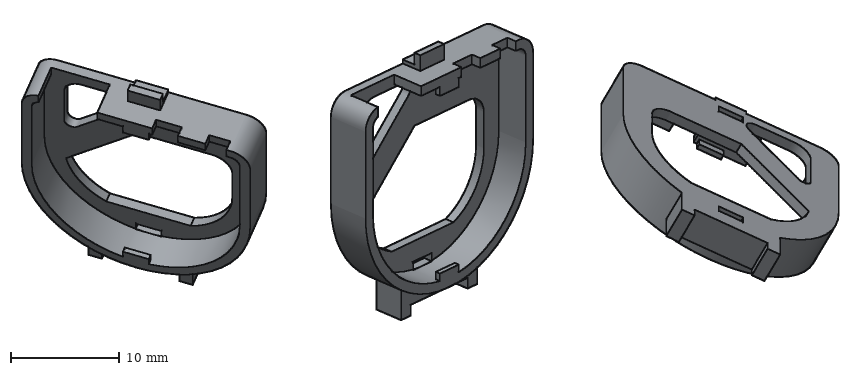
import cadquery as cq
import math

overall_height = 25.88
depth = 4.45
outer_radius = 11.245
top_z = 11.0
wall = 1.0
outer_corner_radius = 2.0
inner_radius = outer_radius - wall
inner_top_z = top_z - wall
inner_corner_radius = outer_corner_radius - wall
floor_thickness = 1.0
front_y = -depth
floor_y = -floor_thickness

window_top_z = 4.68
window_bottom_z = -7.25
window_right_x = 8.23
window_lower_radius = 6.73
window_arc_center_z = -1.05
window_corner_radius = 2.0
window_diagonal_offset = 5.75

triangle_left_x = -8.3
triangle_top_z = 9.68
triangle_diagonal_offset = 10.02
triangle_square_corner_radius = 1.8
triangle_right_corner_radius = 0.9
triangle_bottom_corner_radius = 0.75

large_opening = (-9.58, -3.8)
small_openings = [(1.6, 4.15), (6.83, 8.9)]
small_opening_depth = 1.05

tab_half_width = 1.27
tab_thickness = 0.52
upper_tab_tip_z = 9.05
lower_tab_tip_z = -9.37

hook_half_width = 1.6
hook_height = 1.63
hook_base_height = 0.41
hook_reach = 2.25
hook_lip_thickness = 0.75

foot_half_width = 5.12
foot_depth = 3.15
leg_width = 1.32
leg_height = 1.1
foot_bottom_z = top_z + hook_height - overall_height


def box(x_range, y_range, z_range):
    """Box spanning the given (low, high) ranges."""
    spans = (x_range, y_range, z_range)
    size = [high - low for low, high in spans]
    corner = tuple(low for low, high in spans)
    return cq.Workplane("XY").box(*size, centered=False).translate(corner)


def extrude_y(outline, y_back, y_front):
    """Extrude a closed XZ outline forward from y_back to y_front."""
    return outline.extrude(y_back - y_front).translate((0, y_back, 0))


def u_prism(radius, top, corner_radius, y_back, y_front):
    """Prism with a half-round bottom and two rounded top corners."""
    outline = (
        cq.Workplane("XZ")
        .moveTo(-radius, top)
        .lineTo(-radius, 0)
        .threePointArc((0, -radius), (radius, 0))
        .lineTo(radius, top)
        .close()
    )
    return extrude_y(outline, y_back, y_front).edges("|Y and >Z").fillet(corner_radius)


def make_shell():
    outside = u_prism(outer_radius, top_z, outer_corner_radius, 0, front_y)
    cavity = u_prism(inner_radius, inner_top_z, inner_corner_radius, floor_y, front_y)
    return outside.cut(cavity)


def make_large_window():
    center_x = window_right_x - window_lower_radius
    bottom_drop = window_arc_center_z - window_bottom_z
    bottom_x = center_x + math.sqrt(window_lower_radius**2 - bottom_drop**2)
    center_to_diagonal = (window_diagonal_offset - center_x - window_arc_center_z) / 2
    half_chord = math.sqrt(window_lower_radius**2 / 2 - center_to_diagonal**2)
    left_x = -center_x - center_to_diagonal - half_chord
    left_z = left_x + window_diagonal_offset

    def arc_middle(start, end, arc_center_x):
        """Middle of the lower corner arc between two of its points."""
        x = (start[0] + end[0]) / 2 - arc_center_x
        z = (start[1] + end[1]) / 2 - window_arc_center_z
        scale = window_lower_radius / math.hypot(x, z)
        return (arc_center_x + x * scale, window_arc_center_z + z * scale)

    left = (left_x, left_z)
    bottom_left = (-bottom_x, window_bottom_z)
    bottom_right = (bottom_x, window_bottom_z)
    right = (window_right_x, window_arc_center_z)
    outline = (
        cq.Workplane("XZ")
        .moveTo(window_top_z - window_diagonal_offset, window_top_z)
        .lineTo(*left)
        .threePointArc(arc_middle(left, bottom_left, -center_x), bottom_left)
        .lineTo(*bottom_right)
        .threePointArc(arc_middle(bottom_right, right, center_x), right)
        .lineTo(window_right_x, window_top_z)
        .close()
    )
    window = extrude_y(outline, 0, floor_y)
    top_right = cq.selectors.NearestToPointSelector((window_right_x, floor_y / 2, window_top_z))
    return window.edges(top_right).fillet(window_corner_radius)


def make_triangular_window():
    outline = (
        cq.Workplane("XZ")
        .moveTo(triangle_left_x, triangle_top_z)
        .lineTo(triangle_left_x, triangle_left_x + triangle_diagonal_offset)
        .lineTo(triangle_top_z - triangle_diagonal_offset, triangle_top_z)
        .close()
    )
    window = extrude_y(outline, 0, floor_y)
    square_corner = cq.selectors.NearestToPointSelector((triangle_left_x, floor_y / 2, triangle_top_z))
    window = window.edges(square_corner).fillet(triangle_square_corner_radius)
    window = window.edges("|Y").edges(">X").fillet(triangle_right_corner_radius)
    return window.edges("|Y").edges("<Z").fillet(triangle_bottom_corner_radius)


def make_top_openings():
    z_range = (inner_top_z - inner_corner_radius, top_z)
    openings = box(large_opening, (front_y, floor_y), z_range)
    for x_range in small_openings:
        openings = openings.union(box(x_range, (front_y, front_y + small_opening_depth), z_range))
    return openings


def make_tab_shapes(y_range, overlap):
    """Upper and lower tab blocks, reaching into the wall by the overlap."""
    x_range = (-tab_half_width, tab_half_width)
    upper = box(x_range, y_range, (upper_tab_tip_z, inner_top_z + overlap))
    lower = box(x_range, y_range, (-inner_radius - overlap, lower_tab_tip_z))
    return upper.union(lower)


def make_hook():
    x_range = (-hook_half_width, hook_half_width)
    base = box(x_range, (-hook_reach, 0), (top_z, top_z + hook_base_height))
    lip_y_range = (-hook_reach, -hook_reach + hook_lip_thickness)
    return base.union(box(x_range, lip_y_range, (top_z, top_z + hook_height)))


def make_foot():
    y_range = (-foot_depth, 0)
    leg_inner_x = foot_half_width - leg_width
    block = box((-foot_half_width, foot_half_width), y_range, (foot_bottom_z, -inner_radius / 2))
    gap = box((-leg_inner_x, leg_inner_x), y_range, (foot_bottom_z, foot_bottom_z + leg_height))
    shell_space = u_prism(outer_radius, top_z, outer_corner_radius, 0, front_y)
    return block.cut(gap).cut(shell_space)


result = (
    make_shell()
    .cut(make_large_window())
    .cut(make_triangular_window())
    .cut(make_top_openings())
    .cut(make_tab_shapes((floor_y, 0), 0))
    .union(make_tab_shapes((front_y, front_y + tab_thickness), wall / 2))
    .union(make_hook())
    .union(make_foot())
)